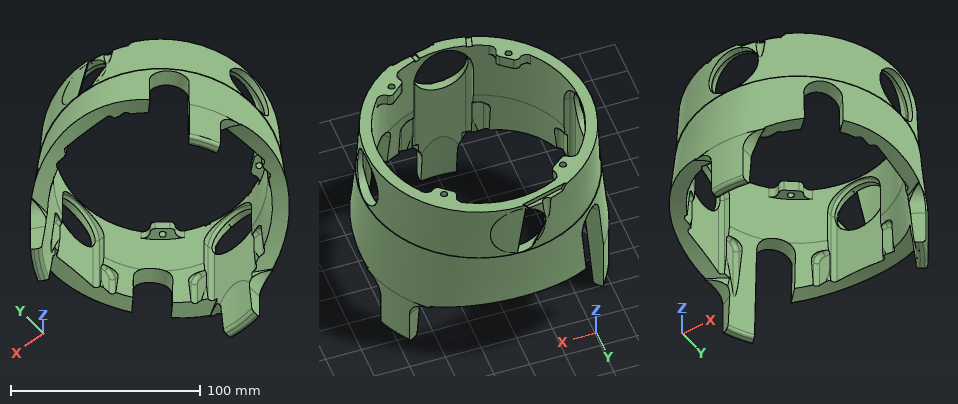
import cadquery as cq
import math

HEIGHT = 106.0
TOP_RADIUS = 63.0
SEAM_Z = 72.3
SEAM_RADIUS = 65.0
SEAM_STEP = 0.3
SKIRT_Z = 32.0
SKIRT_RADIUS = 68.9
BORE_RADIUS = 113.0 / 2
BORE_STRAIGHT_Z = 67.1
BORE_BOTTOM_RADIUS = 62.9

ARCH_PEAK_Z = 41.1
ARCH_RADIUS = 134.2
ARCH_HALF_WIDTH = 45.5
LEG_ANGLES = (-90, 30, 150)
LEG_HALF_WIDTH = 10.0
LEG_ROOT_RADIUS = 10.7
LEG_END_FILLET = 1.9

WINDOW_DIAMETER = 31.0
WINDOW_Z = 87.9
WINDOW_ANGLES = (0, 90, 180, 270)
RECESS_HALF_WIDTH = 16.6
RECESS_FLOOR = 59.6
SIDE_RECESS_HALF_WIDTH = 25.3
SIDE_RECESS_FLOOR = 56.0
SIDE_RECESS_TOP_Z = 60.8
SIDE_RECESS_CORNER = 5.5
RECESS_FLOOR_FILLET = 2.3

SKIN_THICKNESS = 0.7
SKIN_OPENING = [(-4.0, 104.1), (1.6, 71.2), (-5.6, 71.2), (-15.3, 87.9), (-16.5, 104.1)]

SLOT_ANGLES = (135, -45)
SLOT_HALF_WIDTH = 10.4
SLOT_TOP_Z = 69.5

TAB_ANGLES = (50.2, 127.2, -50.2, -127.2)
TAB_HEIGHT = 6.8
TAB_WIDTH = 13.1
TAB_INNER_DISTANCE = 49.6
TAB_CORNER_FILLET = 2.7
TAB_ROOT_FILLET = 4.1
SCREW_CIRCLE_RADIUS = 53.1
SCREW_HOLE_DIAMETER = 3.5

NOTCH_ANGLES = (-75, 105)
NOTCH_DEPTH = 2.9
NOTCH_FLOOR = 60.5
NOTCH_TOP_HALF_WIDTH = 13.4
NOTCH_BOTTOM_HALF_WIDTH = 11.0
GROOVE_TIP_Z = 90.7
GROOVE_RADIUS = 2.9
GROOVE_TOP_DEPTH = 2.2
MARK_ANGLES = (-105, -75)
MARK_WIDTH = 3.0
MARK_DEPTH = 1.0

CUT_REACH = 82.2

PICK_TOLERANCE = 0.1
TAB_OVERLAP = 2.7


def turned(solid, angle):
    """Turn a solid made facing +X to the given angle about Z."""
    return solid.rotate((0, 0, 0), (0, 0, 1), angle)


def outward_plane(distance=0.0):
    """Sketch plane facing +X: sketch x runs along Y, sketch y along Z."""
    return cq.Workplane("YZ", origin=(distance, 0, 0))


def outer_profile(offset):
    """Outside outline (radius, z) from bottom to top, moved inward by an offset."""
    return [
        (SKIRT_RADIUS - offset, 0),
        (SKIRT_RADIUS - offset, SKIRT_Z),
        (SEAM_RADIUS - offset, SEAM_Z),
        (SEAM_RADIUS - SEAM_STEP - offset, SEAM_Z),
        (TOP_RADIUS - offset, HEIGHT),
    ]


def revolved(points):
    return cq.Workplane("XZ").polyline(points).close().revolve(360, (0, 0, 0), (0, 1, 0))


def shell():
    bore = [(BORE_RADIUS, HEIGHT), (BORE_RADIUS, BORE_STRAIGHT_Z), (BORE_BOTTOM_RADIUS, 0)]
    return revolved(outer_profile(0) + bore).faces("<Z").edges().fillet(LEG_END_FILLET)


def leg_envelope():
    """Leg outline with concave roots, reaching out along +X from the axis."""
    root_z = SKIRT_Z - LEG_ROOT_RADIUS
    root_half_width = LEG_HALF_WIDTH + LEG_ROOT_RADIUS
    bend = LEG_ROOT_RADIUS * (1 - math.sqrt(0.5))
    bend_y = LEG_HALF_WIDTH + bend
    bend_z = SKIRT_Z - bend
    return (
        outward_plane()
        .moveTo(-LEG_HALF_WIDTH, 0)
        .lineTo(LEG_HALF_WIDTH, 0)
        .lineTo(LEG_HALF_WIDTH, root_z)
        .threePointArc((bend_y, bend_z), (root_half_width, SKIRT_Z))
        .lineTo(-root_half_width, SKIRT_Z)
        .threePointArc((-bend_y, bend_z), (-LEG_HALF_WIDTH, root_z))
        .close()
        .extrude(CUT_REACH)
    )


def arch():
    """Straight-sided opening with a shallow arched top, cut outward along +X."""
    spring_z = ARCH_PEAK_Z - ARCH_RADIUS + math.sqrt(ARCH_RADIUS**2 - ARCH_HALF_WIDTH**2)
    return (
        outward_plane()
        .moveTo(-ARCH_HALF_WIDTH, 0)
        .lineTo(ARCH_HALF_WIDTH, 0)
        .lineTo(ARCH_HALF_WIDTH, spring_z)
        .threePointArc((0, ARCH_PEAK_Z), (-ARCH_HALF_WIDTH, spring_z))
        .close()
        .extrude(CUT_REACH)
    )


def skirt_and_legs():
    """Shell kept whole above the skirt edge, with only the legs left below it."""
    keep = cq.Workplane("XY", origin=(0, 0, SKIRT_Z)).circle(CUT_REACH).extrude(HEIGHT)
    for angle in LEG_ANGLES:
        keep = keep.union(turned(leg_envelope(), angle))
    for angle in LEG_ANGLES:
        keep = keep.cut(turned(arch(), angle + 180))
    return shell().intersect(keep)


def window():
    return outward_plane().center(0, WINDOW_Z).circle(WINDOW_DIAMETER / 2).extrude(CUT_REACH)


def round_topped(half_width, bottom_z, top_z, reach):
    """Upright bar along +X with a half-round top."""
    straight_top = top_z - half_width
    return (
        outward_plane()
        .moveTo(-half_width, bottom_z)
        .lineTo(half_width, bottom_z)
        .lineTo(half_width, straight_top)
        .threePointArc((0, top_z), (-half_width, straight_top))
        .close()
        .extrude(reach)
    )


def inner_recess():
    """Flat recess behind a window, with a lower, wider and shallower one around it."""
    deep = round_topped(RECESS_HALF_WIDTH, 0, WINDOW_Z + RECESS_HALF_WIDTH, RECESS_FLOOR)
    side = (
        outward_plane()
        .center(0, SIDE_RECESS_TOP_Z / 2)
        .rect(2 * SIDE_RECESS_HALF_WIDTH, SIDE_RECESS_TOP_Z)
        .extrude(SIDE_RECESS_FLOOR)
        .edges("|X and >Z")
        .fillet(SIDE_RECESS_CORNER)
    )
    deep = deep.faces(">X").edges("not <Z").fillet(RECESS_FLOOR_FILLET)
    side = side.faces(">X").edges("not <Z").fillet(RECESS_FLOOR_FILLET)
    return deep.union(side)


def window_skin():
    """Thin skin left over part of the +Y window, flush with the outside."""
    inside = outer_profile(SKIN_THICKNESS)
    skin = revolved(outer_profile(0) + inside[::-1]).intersect(turned(window(), 90))
    opening = cq.Workplane("XZ").polyline(SKIN_OPENING).close().extrude(-CUT_REACH)
    return skin.cut(opening)


def is_tab_root(edge):
    """True for upright edges where a tab meets the bore, away from the bore's seam edge."""
    center = edge.Center()
    return abs(center.y) > TAB_WIDTH and abs(math.hypot(center.x, center.y) - BORE_RADIUS) < PICK_TOLERANCE


def is_tab_corner(edge):
    """True for upright edges on the inner face of a tab."""
    center = edge.Center()
    corner_radius = math.hypot(TAB_INNER_DISTANCE, TAB_WIDTH / 2)
    return abs(math.hypot(center.x, center.y) - corner_radius) < PICK_TOLERANCE


def tabs():
    """Rim ring with four rounded tabs reaching inward."""
    base_z = HEIGHT - TAB_HEIGHT
    ring_radius = BORE_RADIUS + TAB_OVERLAP
    plane = cq.Workplane("XY", origin=(0, 0, base_z))
    ring = plane.circle(ring_radius).circle(BORE_RADIUS).extrude(TAB_HEIGHT)
    length = BORE_RADIUS + TAB_OVERLAP / 2 - TAB_INNER_DISTANCE
    tab = plane.center(TAB_INNER_DISTANCE + length / 2, 0).rect(length, TAB_WIDTH).extrude(TAB_HEIGHT)
    for angle in TAB_ANGLES:
        ring = ring.union(turned(tab, angle))
    ring = ring.edges("|Z").filter(is_tab_root).fillet(TAB_ROOT_FILLET)
    ring = ring.edges("|Z").filter(is_tab_corner).fillet(TAB_CORNER_FILLET)
    hole = plane.center(SCREW_CIRCLE_RADIUS, 0).circle(SCREW_HOLE_DIAMETER / 2).extrude(TAB_HEIGHT)
    for angle in TAB_ANGLES:
        ring = ring.cut(turned(hole, angle))
    return ring


def rim_notch():
    """Flat-backed trapezoidal notch with a tapering finger groove below it."""
    bottom_z = HEIGHT - NOTCH_DEPTH
    outline = [
        (-NOTCH_TOP_HALF_WIDTH, HEIGHT),
        (NOTCH_TOP_HALF_WIDTH, HEIGHT),
        (NOTCH_BOTTOM_HALF_WIDTH, bottom_z),
        (-NOTCH_BOTTOM_HALF_WIDTH, bottom_z),
    ]
    notch = outward_plane(NOTCH_FLOOR).polyline(outline).close().extrude(CUT_REACH - NOTCH_FLOOR)
    wall_slope = (SEAM_RADIUS - SEAM_STEP - TOP_RADIUS) / (HEIGHT - SEAM_Z)
    tip_radius = TOP_RADIUS + (HEIGHT - GROOVE_TIP_Z) * wall_slope
    run = TOP_RADIUS - GROOVE_TOP_DEPTH - tip_radius
    rise = HEIGHT - GROOVE_TIP_Z
    axis = cq.Vector(run, 0, rise)
    start = cq.Vector(tip_radius + GROOVE_RADIUS, 0, GROOVE_TIP_Z)
    groove = cq.Solid.makeCylinder(GROOVE_RADIUS, axis.Length, start, axis)
    return notch.union(cq.Workplane(groove))


def index_mark():
    return outward_plane().center(0, HEIGHT).rect(MARK_WIDTH, 2 * MARK_DEPTH).extrude(CUT_REACH)


result = skirt_and_legs().union(tabs())
for angle in WINDOW_ANGLES:
    result = result.cut(turned(window(), angle))
for angle in WINDOW_ANGLES:
    result = result.cut(turned(inner_recess(), angle))
for angle in SLOT_ANGLES:
    result = result.cut(turned(round_topped(SLOT_HALF_WIDTH, 0, SLOT_TOP_Z, CUT_REACH), angle))
result = result.union(window_skin())
for angle in NOTCH_ANGLES:
    result = result.cut(turned(rim_notch(), angle))
for angle in MARK_ANGLES:
    result = result.cut(turned(index_mark(), angle))